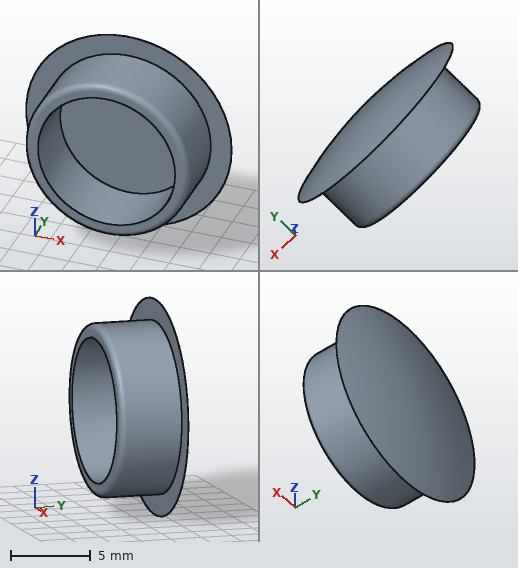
import cadquery as cq

head_diameter = 13.8
total_length = 4.97
dome_height = 0.97
collar_outer_diameter = 11.0
collar_inner_diameter = 9.2
rim_fillet = 0.4

head_radius = head_diameter / 2
collar_length = total_length - dome_height
pocket_depth = collar_length


def domed_head():
    """Spherical cap with its flat underside on the XZ plane."""
    sphere_radius = (head_radius**2 + dome_height**2) / (2 * dome_height)
    sphere_center_y = dome_height - sphere_radius
    mid_x = head_radius / 2
    mid_y = sphere_center_y + (sphere_radius**2 - mid_x**2) ** 0.5
    return (
        cq.Workplane("XY")
        .moveTo(0, 0)
        .lineTo(head_radius, 0)
        .threePointArc((mid_x, mid_y), (0, dome_height))
        .close()
        .revolve(360, (0, 0, 0), (0, 1, 0))
    )


def collar():
    """Solid cylinder with a rounded outer edge at the open end."""
    return (
        cq.Workplane("XZ")
        .circle(collar_outer_diameter / 2)
        .extrude(collar_length)
        .faces("<Y")
        .edges()
        .fillet(rim_fillet)
    )


def pocket():
    """Blind round cavity opening at the free end of the collar."""
    return (
        cq.Workplane("XZ", origin=(0, -collar_length, 0))
        .circle(collar_inner_diameter / 2)
        .extrude(-pocket_depth)
    )


result = domed_head().union(collar()).cut(pocket())